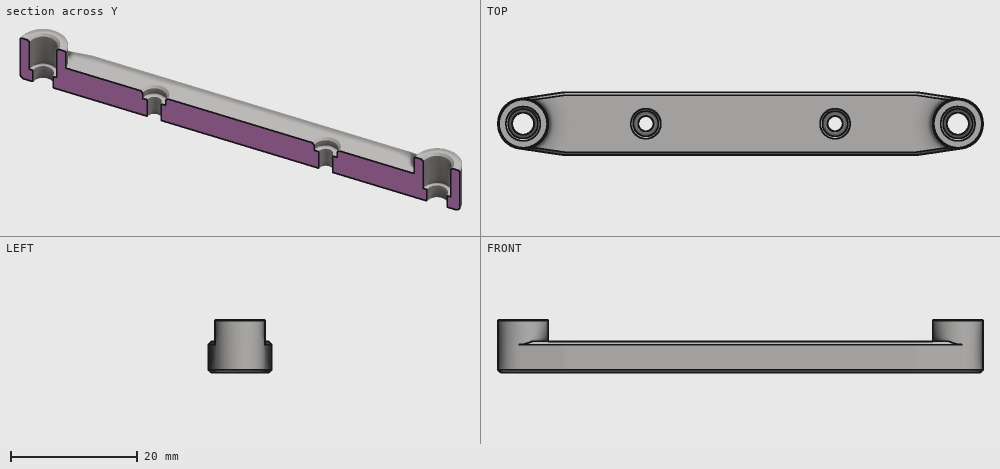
import cadquery as cq
import math

LENGTH = 77.0
WIDTH = 10.0
BAR_HEIGHT = 5.0
BAR_CHAMFER = 0.5
SHOULDER_X = 28.0
SHOULDER_RADIUS = 5.0

BOSS_DIAMETER = 8.0
BOSS_HEIGHT = 8.5
BOSS_EDGE_CHAMFER = 0.2
BOSS_HOLE_DIAMETER = 3.5
BOSS_BORE_DIAMETER = 4.7
BOSS_BORE_DEPTH = 6.0
BOSS_BORE_CHAMFER = 0.4

SCREW_SPACING = 30.0
SCREW_HOLE_DIAMETER = 2.4
SCREW_BORE_DIAMETER = 4.0
SCREW_BORE_DEPTH = 1.5
SCREW_BORE_CHAMFER = 0.4

BOSS_RADIUS = BOSS_DIAMETER / 2
BOSS_X = LENGTH / 2 - BOSS_RADIUS
SCREW_X = SCREW_SPACING / 2


def make_bar():
    """Flat bar whose tapered sides run tangent into the round ends."""
    half_width = WIDTH / 2
    run = BOSS_X - SHOULDER_X
    reach = math.hypot(run, half_width)
    taper = math.atan2(half_width, run) - math.asin(BOSS_RADIUS / reach)
    tangent_x = BOSS_X + BOSS_RADIUS * math.sin(taper)
    tangent_y = BOSS_RADIUS * math.cos(taper)
    bar = (
        cq.Workplane("XY")
        .moveTo(-SHOULDER_X, -half_width)
        .lineTo(SHOULDER_X, -half_width)
        .lineTo(tangent_x, -tangent_y)
        .threePointArc((LENGTH / 2, 0), (tangent_x, tangent_y))
        .lineTo(SHOULDER_X, half_width)
        .lineTo(-SHOULDER_X, half_width)
        .lineTo(-tangent_x, tangent_y)
        .threePointArc((-LENGTH / 2, 0), (-tangent_x, -tangent_y))
        .close()
        .extrude(BAR_HEIGHT)
    )
    shoulder_box = cq.selectors.BoxSelector(
        (-SHOULDER_X - 0.8, -WIDTH, 0), (SHOULDER_X + 0.8, WIDTH, BAR_HEIGHT)
    )
    bar = bar.edges("|Z").edges(shoulder_box).fillet(SHOULDER_RADIUS)
    return bar.faces("<Z or >Z").edges().chamfer(BAR_CHAMFER)


def make_boss(x):
    """Round post; its foot carries the same chamfer as the bar."""
    return (
        cq.Workplane("XY")
        .center(x, 0)
        .circle(BOSS_RADIUS)
        .extrude(BOSS_HEIGHT)
        .faces(">Z").edges().chamfer(BOSS_EDGE_CHAMFER)
        .faces("<Z").edges().chamfer(BAR_CHAMFER)
    )


def make_stepped_hole(x, top, hole_diameter, bore_diameter, bore_depth, chamfer):
    """Cutter for a through hole with a counterbore and a chamfered mouth."""
    hole_radius = hole_diameter / 2
    bore_radius = bore_diameter / 2
    profile = [
        (0, 0),
        (hole_radius, 0),
        (hole_radius, top - bore_depth),
        (bore_radius, top - bore_depth),
        (bore_radius, top - chamfer),
        (bore_radius + chamfer, top),
        (0, top),
    ]
    cutter = cq.Workplane("XZ").polyline(profile).close().revolve(360, (0, 0), (0, 1))
    return cutter.translate((x, 0, 0))


result = make_bar()
for side in (-1, 1):
    result = result.union(make_boss(side * BOSS_X))

for side in (-1, 1):
    boss_hole = make_stepped_hole(
        side * BOSS_X, BOSS_HEIGHT, BOSS_HOLE_DIAMETER,
        BOSS_BORE_DIAMETER, BOSS_BORE_DEPTH, BOSS_BORE_CHAMFER,
    )
    screw_hole = make_stepped_hole(
        side * SCREW_X, BAR_HEIGHT, SCREW_HOLE_DIAMETER,
        SCREW_BORE_DIAMETER, SCREW_BORE_DEPTH, SCREW_BORE_CHAMFER,
    )
    result = result.cut(boss_hole).cut(screw_hole)